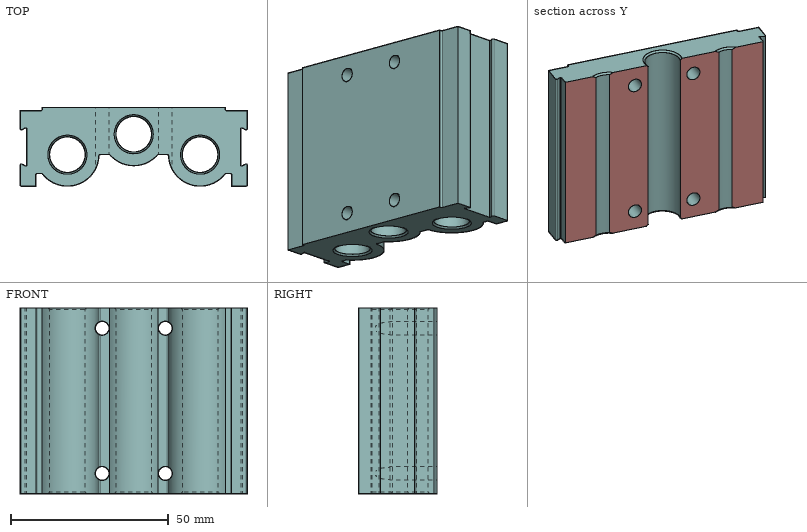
import cadquery as cq
import math

WIDTH = 72.0
DEPTH = 25.0
HEIGHT = 59.0

LOBE_RADIUS = 10.0
BORE_DIAMETER = 11.2
BORE_CHAMFER = 0.6
OUTER_BORE_X = 21.0
OUTER_BORE_Y = LOBE_RADIUS
MIDDLE_BORE_Y = 16.5

VALLEY_Y = OUTER_BORE_Y
FOOT_WIDTH = 5.0
FOOT_FLOOR_Y = 4.0

PAD_WIDTH = 58.0
PAD_RAISE = 1.0

GROOVE_CENTRE_Y = 12.45
GROOVE_DEPTH = 2.1
GROOVE_BACK_HALF_WIDTH = 6.0
GROOVE_MOUTH_HALF_WIDTH = 5.05
GROOVE_BACK_LEDGE = 0.5

EDGE_RADIUS = 0.4

MOUNT_DIAMETER = 4.3
MOUNT_X = 10.0
MOUNT_END_DISTANCE = 6.5

SIDE_X = WIDTH / 2
FOOT_X = SIDE_X - FOOT_WIDTH
FLANGE_Y = DEPTH - PAD_RAISE
PAD_X = PAD_WIDTH / 2
LOBE_INNER_X = OUTER_BORE_X - LOBE_RADIUS
GROOVE_BACK_X = SIDE_X - GROOVE_DEPTH
GROOVE_LEDGE_X = GROOVE_BACK_X + GROOVE_BACK_LEDGE
GROOVE_MOUTH_LOW_Y = GROOVE_CENTRE_Y - GROOVE_MOUTH_HALF_WIDTH
GROOVE_MOUTH_HIGH_Y = GROOVE_CENTRE_Y + GROOVE_MOUTH_HALF_WIDTH
GROOVE_BACK_LOW_Y = GROOVE_CENTRE_Y - GROOVE_BACK_HALF_WIDTH
GROOVE_BACK_HIGH_Y = GROOVE_CENTRE_Y + GROOVE_BACK_HALF_WIDTH


def lobe_half_width(centre_y, cut_y):
    """Half width of a lobe where it meets a wall lying at cut_y."""
    return math.sqrt(LOBE_RADIUS**2 - (centre_y - cut_y) ** 2)


def round_upright_edges(solid, corners):
    """Round the Z-direction edges that stand at the given XY corners."""
    reach = 0.1
    for x, y in corners:
        near_corner = cq.selectors.BoxSelector(
            (x - reach, y - reach, -reach),
            (x + reach, y + reach, reach),
        )
        solid = solid.edges("|Z").edges(near_corner).fillet(EDGE_RADIUS)
    return solid


def make_half_body():
    """Solid half of the extrusion on the +X side of the symmetry plane."""
    middle_lobe_end_x = lobe_half_width(MIDDLE_BORE_Y, VALLEY_Y)
    outer_lobe_end_x = OUTER_BORE_X + lobe_half_width(OUTER_BORE_Y, FOOT_FLOOR_Y)

    half = (
        cq.Workplane("XY")
        .moveTo(0, MIDDLE_BORE_Y - LOBE_RADIUS)
        .radiusArc((middle_lobe_end_x, VALLEY_Y), -LOBE_RADIUS)
        .lineTo(LOBE_INNER_X, VALLEY_Y)
        .threePointArc((OUTER_BORE_X, 0), (outer_lobe_end_x, FOOT_FLOOR_Y))
        .lineTo(FOOT_X, FOOT_FLOOR_Y)
        .lineTo(FOOT_X, 0)
        .lineTo(SIDE_X, 0)
        .lineTo(SIDE_X, GROOVE_MOUTH_LOW_Y)
        .lineTo(GROOVE_LEDGE_X, GROOVE_BACK_LOW_Y)
        .lineTo(GROOVE_BACK_X, GROOVE_BACK_LOW_Y)
        .lineTo(GROOVE_BACK_X, GROOVE_BACK_HIGH_Y)
        .lineTo(GROOVE_LEDGE_X, GROOVE_BACK_HIGH_Y)
        .lineTo(SIDE_X, GROOVE_MOUTH_HIGH_Y)
        .lineTo(SIDE_X, FLANGE_Y)
        .lineTo(PAD_X, FLANGE_Y)
        .lineTo(PAD_X, DEPTH)
        .lineTo(0, DEPTH)
        .close()
        .extrude(HEIGHT / 2, both=True)
    )
    rounded_corners = [
        (LOBE_INNER_X, VALLEY_Y),
        (FOOT_X, FOOT_FLOOR_Y),
        (SIDE_X, 0),
        (SIDE_X, GROOVE_MOUTH_LOW_Y),
        (SIDE_X, GROOVE_MOUTH_HIGH_Y),
        (PAD_X, FLANGE_Y),
    ]
    return round_upright_edges(half, rounded_corners)


def make_bores():
    """Through bores with a chamfered mouth at both ends."""
    radius = BORE_DIAMETER / 2
    mouth_radius = radius + BORE_CHAMFER
    end_z = HEIGHT / 2
    straight_z = end_z - BORE_CHAMFER
    bore = (
        cq.Workplane("XZ")
        .moveTo(0, -end_z)
        .lineTo(mouth_radius, -end_z)
        .lineTo(radius, -straight_z)
        .lineTo(radius, straight_z)
        .lineTo(mouth_radius, end_z)
        .lineTo(0, end_z)
        .close()
        .revolve(360, (0, 0), (0, 1))
    )
    middle = bore.translate((0, MIDDLE_BORE_Y, 0))
    left = bore.translate((-OUTER_BORE_X, OUTER_BORE_Y, 0))
    right = bore.translate((OUTER_BORE_X, OUTER_BORE_Y, 0))
    return middle.union(left).union(right)


def make_mounting_holes():
    """Four holes running from front to back through the valleys."""
    mount_z = HEIGHT / 2 - MOUNT_END_DISTANCE
    return (
        cq.Workplane("XZ")
        .rarray(2 * MOUNT_X, 2 * mount_z, 2, 2)
        .circle(MOUNT_DIAMETER / 2)
        .extrude(-DEPTH)
    )


half_body = make_half_body()
body = half_body.union(half_body.mirror("YZ")).clean()
result = body.cut(make_bores()).cut(make_mounting_holes())